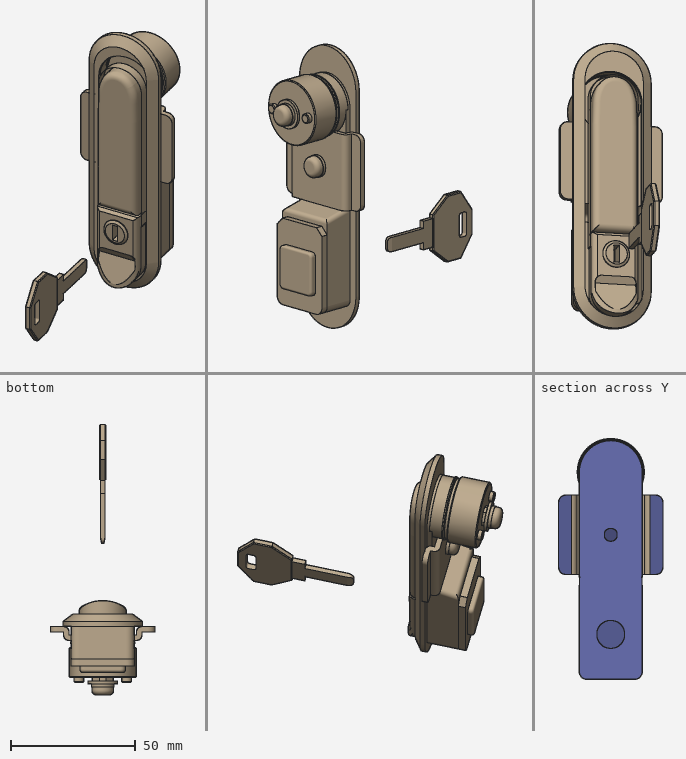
import cadquery as cq

SELECT_MARGIN = 0.05

plate_radius = 16
plate_arc_z = 43
plate_thickness = 5
plate_rim = 2
bevel_width = 4
front_face_y = -plate_thickness

pocket_floor_y = -1
handle_pocket_half_width = 9.85
handle_pocket_top_z = 45.3
button_pocket_top_z = -26.5

button_half_width = 9.5
button_top_z = -21.1
button_bottom_z = -(plate_arc_z + plate_radius - bevel_width)
button_arc_z = button_bottom_z + button_half_width
button_face_y = -8.4
button_top_chamfer = 1.2
button_side_y = -6.45
button_side_bend = (9.15, -7.3)
button_crown_edge = (8.4, -8)
lip_tip_y = -10.4
lip_tip_z = -53.4
recess_half_width = 8.4
recess_top_z = -39.1
recess_deep_z = -42.1
recess_deep_y = -6.9
recess_corner_radius = 2.5

handle_bottom_z = -20.5
handle_half_width = 9.2
handle_taper_z = 23.7
handle_face_y = -8.6
handle_edge_radius = 2.6
nose_base = (8.9, 32.6)
nose_flank = (8.3, 36.8)
nose_shoulder = (6.9, 40.1)
nose_top_z = 44.1

lock_z = -30
lock_radius = 5.5
lock_face_radius = 4.4
lock_rim_y = -8.7
lock_face_y = -9.4
key_slot_width = 2.2
key_slot_height = 7
key_slot_depth = 8

box_half_width = 12.7
box_bottom_z = -48.1
box_corner_radius = 3.2
box_back_y = 13
box_slope_top = (3.4, -6.9)
box_slope_end_z = -9
box_roof_radius = 1.8

cover_back_y = 16
cover_top_z = -11.8
cover_corner_radius = 3
pad_back_y = 18.5
pad_size = 18.2
pad_z = -31.5
pad_corner_radius = 1.8
pad_edge_radius = 1

spine_half_width = box_half_width
spine_back_y = 2.2
spine_foot_y = 1.1
neck_radius = 12.6
neck_lip_radius = 13
neck_lip_y = 6.2
neck_back_y = 7.2
neck_chamfer = 0.4

rotor_z = 35.2
rotor_radius = 13.5
rotor_front_y = 8.4
rotor_back_y = 20.5
rotor_groove_radius = 12.4
rotor_chamfer = 0.4
pin_offset = 9.6
pin_radius = 2
pin_back_y = 22.5
pin_chamfer = 0.4
square_side = 7.6
square_turn = 45
square_corner_radius = 4.3
square_back_y = 21.9

head_radius = 4.4
head_height = 4.5
head_collar_radius = 4.6
head_collar_height = 1.3
head_edge_radius = 1.9
shank_radius = 2.5
washer_radius = 6
washer_thickness = 1.2
rotor_shank_depth = 8

bracket_z = 10
bracket_height = 32
bracket_half_width = 21
bracket_thickness = 2.3
bracket_back_y = 5.7
bracket_web_half_width = 15.8
bracket_outer_bend = 2.3
ear_corner_radius = 3

key_z = -31.5
key_end_y = -81.17
key_head_length = 22.5
key_shoulder_length = 5.3
key_blade_length = 20
key_tip_length = 2.4
key_blade_half_height = 3
key_shoulder_half_height = 6
key_head_half_height = 14
key_head_front_half_height = 7.6
key_head_end_half_height = 5.1
key_head_front_run = 8.3
key_head_end_run = 6.5
key_head_thickness = 2.5
key_head_chamfer = 0.4
key_blade_thickness = 2
key_tip_thickness = 1
key_tip_radius = 1.8
key_hole_length = 4
key_hole_height = 10.2
key_hole_corner_radius = 1
key_hole_inset = 3.6


def plane_at(y):
    """XZ sketch plane at y whose extrusions run toward +Y; local x is -X, local y is Z."""
    return cq.Workplane(cq.Plane(origin=(0, y, 0), xDir=(-1, 0, 0), normal=(0, 1, 0)))


def side_plane(x):
    """YZ sketch plane at x whose extrusions run toward +X; local x is Y, local y is Z."""
    return cq.Workplane("YZ", origin=(x, 0, 0))


def disc(radius, z, y_start, y_end):
    return plane_at(y_start).center(0, z).circle(radius).extrude(y_end - y_start)


def block(half_width, z_low, z_high, y_start, y_end):
    size = (2 * half_width, y_end - y_start, z_high - z_low)
    return cq.Workplane(cq.Solid.makeBox(*size, cq.Vector(-half_width, y_start, z_low)))


def button_outline(y, top_z):
    """Straight sides closed by a half-round bottom."""
    return (
        plane_at(y)
        .moveTo(-button_half_width, top_z)
        .lineTo(-button_half_width, button_arc_z)
        .threePointArc((0, button_bottom_z), (button_half_width, button_arc_z))
        .lineTo(button_half_width, top_z)
        .close()
    )


def make_plate():
    slot_length = 2 * (plate_arc_z + plate_radius)
    plate = plane_at(front_face_y).slot2D(slot_length, 2 * plate_radius, 90).extrude(plate_thickness)
    return plate.faces("<Y").chamfer(plate_thickness - plate_rim, bevel_width)


def make_box():
    slope_y, slope_z = box_slope_top
    box = (
        side_plane(-box_half_width)
        .moveTo(0, box_bottom_z)
        .lineTo(box_back_y, box_bottom_z)
        .lineTo(box_back_y, box_slope_end_z)
        .lineTo(slope_y, slope_z)
        .lineTo(0, slope_z)
        .close()
        .extrude(2 * box_half_width)
    )
    box = box.edges("|Y and <Z").fillet(box_corner_radius)
    roof = box.faces(cq.selectors.NearestToPointSelector(
        (0, (box_back_y + slope_y) / 2, (box_slope_end_z + slope_z) / 2)))
    return roof.edges("not <Y").fillet(box_roof_radius)


def make_housing():
    housing = make_plate().union(make_box())
    housing = housing.union(block(spine_half_width, box_slope_top[1], rotor_z, 0, spine_back_y))
    housing = housing.union(disc(spine_half_width, rotor_z, 0, spine_foot_y))
    housing = housing.union(disc(neck_radius, rotor_z, 0, neck_lip_y))
    neck_lip = disc(neck_lip_radius, rotor_z, neck_lip_y, neck_back_y)
    housing = housing.union(neck_lip.faces(">Y").chamfer(neck_chamfer))

    pocket_depth = pocket_floor_y - front_face_y
    top_arc_z = handle_pocket_top_z - handle_pocket_half_width
    handle_pocket = (
        plane_at(front_face_y)
        .moveTo(-handle_pocket_half_width, button_pocket_top_z)
        .lineTo(-handle_pocket_half_width, top_arc_z)
        .threePointArc((0, handle_pocket_top_z), (handle_pocket_half_width, top_arc_z))
        .lineTo(handle_pocket_half_width, button_pocket_top_z)
        .close()
        .extrude(pocket_depth)
    )
    button_pocket = button_outline(front_face_y, button_pocket_top_z).extrude(pocket_depth)
    lock_bore = disc(lock_radius, lock_z, front_face_y, box_back_y)
    screw_hole = disc(shank_radius, bracket_z, 0, spine_back_y)
    return housing.cut(handle_pocket).cut(button_pocket).cut(lock_bore).cut(screw_hole)


def make_cover():
    cover = block(box_half_width, box_bottom_z, cover_top_z, box_back_y, cover_back_y)
    cover = cover.edges("|Y and <Z").fillet(box_corner_radius)
    cover = cover.edges("|Y and >Z").chamfer(cover_corner_radius)
    pad = block(pad_size / 2, pad_z - pad_size / 2, pad_z + pad_size / 2, cover_back_y, pad_back_y)
    pad = pad.edges("|Y").fillet(pad_corner_radius).faces(">Y").edges().fillet(pad_edge_radius)
    return cover.union(pad)


def make_handle():
    nose_x, nose_z = nose_base
    handle = (
        plane_at(handle_face_y)
        .moveTo(-handle_half_width, handle_bottom_z)
        .lineTo(-handle_half_width, handle_taper_z)
        .lineTo(-nose_x, nose_z)
        .threePointArc((-nose_flank[0], nose_flank[1]), (-nose_shoulder[0], nose_shoulder[1]))
        .threePointArc((0, nose_top_z), nose_shoulder)
        .threePointArc(nose_flank, nose_base)
        .lineTo(handle_half_width, handle_taper_z)
        .lineTo(handle_half_width, handle_bottom_z)
        .close()
        .extrude(pocket_floor_y - handle_face_y)
    )
    return handle.faces("<Y").edges().fillet(handle_edge_radius)


def make_button():
    lip_slope = (lip_tip_y - recess_deep_y) / (lip_tip_z - recess_deep_z)
    lip_start_z = recess_deep_z + (button_face_y - recess_deep_y) / lip_slope
    side_profile = (
        side_plane(-button_half_width)
        .moveTo(pocket_floor_y, button_top_z)
        .lineTo(button_face_y, button_top_z)
        .lineTo(button_face_y, lip_start_z)
        .lineTo(lip_tip_y, lip_tip_z)
        .lineTo(lip_tip_y, button_bottom_z)
        .lineTo(pocket_floor_y, button_bottom_z)
        .close()
        .extrude(2 * button_half_width)
    )
    button = button_outline(lip_tip_y, button_top_z).extrude(pocket_floor_y - lip_tip_y)
    bend_x, bend_y = button_side_bend
    edge_x, edge_y = button_crown_edge
    crown = (
        cq.Workplane("XY", origin=(0, 0, button_bottom_z))
        .moveTo(-button_half_width, pocket_floor_y)
        .lineTo(-button_half_width, button_side_y)
        .threePointArc((-bend_x, bend_y), (-edge_x, edge_y))
        .threePointArc((0, lip_tip_y), button_crown_edge)
        .threePointArc(button_side_bend, (button_half_width, button_side_y))
        .lineTo(button_half_width, pocket_floor_y)
        .close()
        .extrude(button_top_z - button_bottom_z)
    )
    button = button.intersect(side_profile).intersect(crown)
    top_rim = cq.selectors.BoxSelector(
        (-recess_half_width, lip_tip_y, button_top_z - SELECT_MARGIN),
        (recess_half_width, button_face_y + SELECT_MARGIN, button_top_z + SELECT_MARGIN))
    button = button.edges(top_rim).chamfer(button_top_chamfer)
    finger_recess = (
        side_plane(-recess_half_width)
        .moveTo(button_face_y, recess_top_z)
        .lineTo(recess_deep_y, recess_deep_z)
        .lineTo(button_face_y, lip_start_z)
        .close()
        .extrude(2 * recess_half_width)
    )
    recess_plan = block(recess_half_width, button_bottom_z, recess_top_z, lip_tip_y, pocket_floor_y)
    recess_plan = recess_plan.edges("|Y and >Z").fillet(recess_corner_radius)
    button = button.cut(finger_recess.intersect(recess_plan))
    return button.cut(disc(lock_radius, lock_z, lip_tip_y, pocket_floor_y))


def make_lock_cylinder():
    lock = disc(lock_radius, lock_z, lock_face_y, box_back_y)
    lock = lock.faces("<Y").chamfer(lock_rim_y - lock_face_y, lock_radius - lock_face_radius)
    half_height = key_slot_height / 2
    key_slot = block(
        key_slot_width / 2, lock_z - half_height, lock_z + half_height,
        lock_face_y, lock_face_y + key_slot_depth,
    )
    return lock.cut(key_slot)


def make_rotor():
    rotor = disc(rotor_radius, rotor_z, rotor_front_y, rotor_back_y)
    rotor = rotor.faces("<Y or >Y").edges().chamfer(rotor_chamfer)
    rotor = rotor.union(disc(rotor_groove_radius, rotor_z, neck_back_y, rotor_front_y))
    for x in (-pin_offset, pin_offset):
        pin = disc(pin_radius, rotor_z, rotor_back_y, pin_back_y).faces(">Y").chamfer(pin_chamfer)
        rotor = rotor.union(pin.translate((x, 0, 0)))
    square = (
        plane_at(rotor_back_y)
        .center(0, rotor_z)
        .transformed(rotate=(0, 0, square_turn))
        .rect(square_side, square_side)
        .extrude(square_back_y - rotor_back_y)
        .intersect(disc(square_corner_radius, rotor_z, rotor_back_y, square_back_y))
    )
    rotor = rotor.union(square)
    return rotor.cut(disc(shank_radius, rotor_z, square_back_y - rotor_shank_depth, square_back_y))


def make_screw(z, seat_y, shank_depth):
    """Pan-head screw whose collared head rests on seat_y."""
    head = disc(head_radius, z, seat_y, seat_y + head_height)
    head = head.faces(">Y").edges().fillet(head_edge_radius)
    head = head.union(disc(head_collar_radius, z, seat_y, seat_y + head_collar_height))
    return head.union(disc(shank_radius, z, seat_y - shank_depth, seat_y))


def make_rotor_screw():
    """Screw with a captive washer under its head."""
    screw = make_screw(rotor_z, square_back_y + washer_thickness, washer_thickness + rotor_shank_depth)
    return screw.union(disc(washer_radius, rotor_z, square_back_y, square_back_y + washer_thickness))


def make_bracket():
    web_inner_y = bracket_back_y - bracket_thickness
    leg_inner_x = bracket_web_half_width - bracket_thickness
    top_z = bracket_z + bracket_height / 2
    bottom_z = bracket_z - bracket_height / 2
    bracket = block(bracket_web_half_width, bottom_z, top_z, 0, bracket_back_y)
    bracket = bracket.edges("|Z and >Y").fillet(bracket_outer_bend)
    ears = block(bracket_half_width, bottom_z, top_z, 0, bracket_thickness)
    ears = ears.edges("|Y").fillet(ear_corner_radius)
    bracket = bracket.union(ears)
    channel = block(leg_inner_x, bottom_z, top_z, 0, web_inner_y)
    bracket = bracket.cut(channel)
    inner_bends = cq.selectors.BoxSelector(
        (-leg_inner_x - SELECT_MARGIN, -SELECT_MARGIN, bottom_z),
        (leg_inner_x + SELECT_MARGIN, SELECT_MARGIN, top_z))
    bracket = bracket.edges("|Z").edges(inner_bends).fillet(bracket_outer_bend)
    neck_clearance = disc(neck_radius, rotor_z, 0, bracket_back_y)
    screw_hole = disc(shank_radius, bracket_z, 0, bracket_back_y)
    return bracket.cut(neck_clearance).cut(screw_hole)


def make_key():
    head_front_y = key_end_y + key_head_length
    shoulder_y = head_front_y + key_shoulder_length
    blade_end_y = shoulder_y + key_blade_length
    tip_start_y = blade_end_y - key_tip_length

    upper_head = [
        (head_front_y, key_head_front_half_height),
        (head_front_y - key_head_front_run, key_head_half_height),
        (key_end_y + key_head_end_run, key_head_half_height),
        (key_end_y, key_head_end_half_height),
    ]
    lower_head = [(y, -height) for y, height in reversed(upper_head)]
    head = side_plane(-key_head_thickness / 2).polyline(upper_head + lower_head).close()
    head = head.extrude(key_head_thickness).faces("<X or >X").edges().chamfer(key_head_chamfer)
    hole = (
        side_plane(-key_head_thickness / 2)
        .center(key_end_y + key_hole_inset + key_hole_length / 2, 0)
        .rect(key_hole_length, key_hole_height)
        .extrude(key_head_thickness)
        .edges("|X")
        .fillet(key_hole_corner_radius)
    )
    half_blade = key_blade_thickness / 2
    shoulder = block(
        half_blade, -key_shoulder_half_height, key_shoulder_half_height, head_front_y, shoulder_y)
    blade = block(half_blade, -key_blade_half_height, key_blade_half_height, shoulder_y, blade_end_y)
    blade = blade.edges("|X and >Y").fillet(key_tip_radius)
    tapered_blank = (
        cq.Workplane("XY", origin=(0, 0, -key_blade_half_height))
        .moveTo(-half_blade, shoulder_y)
        .lineTo(-half_blade, tip_start_y)
        .lineTo(-key_tip_thickness / 2, blade_end_y)
        .lineTo(key_tip_thickness / 2, blade_end_y)
        .lineTo(half_blade, tip_start_y)
        .lineTo(half_blade, shoulder_y)
        .close()
        .extrude(2 * key_blade_half_height)
    )
    key = head.cut(hole).union(shoulder).union(blade.intersect(tapered_blank))
    return key.translate((0, 0, key_z))


housing = make_housing()
cover = make_cover()
handle = make_handle()
button = make_button()
lock_cylinder = make_lock_cylinder()
rotor = make_rotor()
rotor_screw = make_rotor_screw()
bracket = make_bracket()
bracket_screw = make_screw(bracket_z, bracket_back_y, bracket_back_y)
key = make_key()

result = cq.Compound.makeCompound([
    housing.val(),
    cover.val(),
    handle.val(),
    button.val(),
    lock_cylinder.val(),
    rotor.val(),
    rotor_screw.val(),
    bracket.val(),
    bracket_screw.val(),
    key.val(),
])